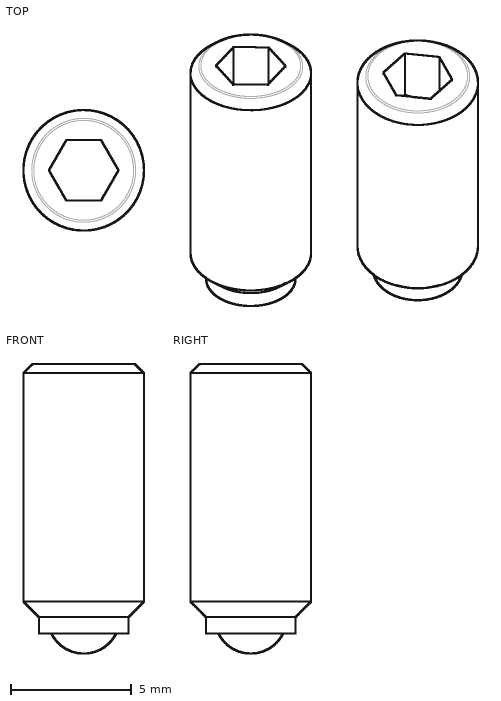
import cadquery as cq
import math

total_length = 12.0
body_radius = 2.502

ball_radius = 1.5
ball_projection = 0.83

nose_radius = 1.86
nose_length = 0.68
nose_top = ball_projection + nose_length
nose_taper = body_radius - nose_radius

rim_round = 0.12
bevel_length = 0.38
face_radius = body_radius - bevel_length

socket_flats = 2.5
socket_depth = 2.4
socket_corner_radius = socket_flats / math.sqrt(3)
drill_point_angle = 120.0
socket_point_depth = socket_corner_radius / math.tan(math.radians(drill_point_angle / 2))


def make_ball():
    return cq.Workplane("XY").sphere(ball_radius).translate((0, 0, ball_radius))


def make_socket():
    """Hexagonal prism ending in a cone that meets the corners of the hexagon."""
    floor_height = total_length - socket_depth
    tip_height = floor_height - socket_point_depth
    prism = (
        cq.Workplane("XY", origin=(0, 0, tip_height))
        .polygon(6, 2 * socket_corner_radius)
        .extrude(total_length - tip_height)
    )
    drilled_hole = (
        cq.Workplane("XZ")
        .moveTo(0, tip_height)
        .lineTo(socket_corner_radius, floor_height)
        .lineTo(socket_corner_radius, total_length)
        .lineTo(0, total_length)
        .close()
        .revolve(360, (0, 0, 0), (0, 1, 0))
    )
    return prism.intersect(drilled_hole)


def make_housing(ball):
    """Turned screw body with a hexagon socket and a seat for the ball."""
    turned_body = (
        cq.Workplane("XZ")
        .moveTo(0, ball_projection)
        .lineTo(nose_radius, ball_projection)
        .lineTo(nose_radius, nose_top)
        .lineTo(body_radius, nose_top + nose_taper)
        .lineTo(body_radius, total_length - bevel_length)
        .lineTo(face_radius, total_length)
        .lineTo(0, total_length)
        .close()
        .revolve(360, (0, 0, 0), (0, 1, 0))
    )
    rounded_body = turned_body.faces(">Z").edges().fillet(rim_round)
    return rounded_body.cut(make_socket()).cut(ball)


ball = make_ball()
housing = make_housing(ball)
result = cq.Compound.makeCompound([housing.val(), ball.val()])